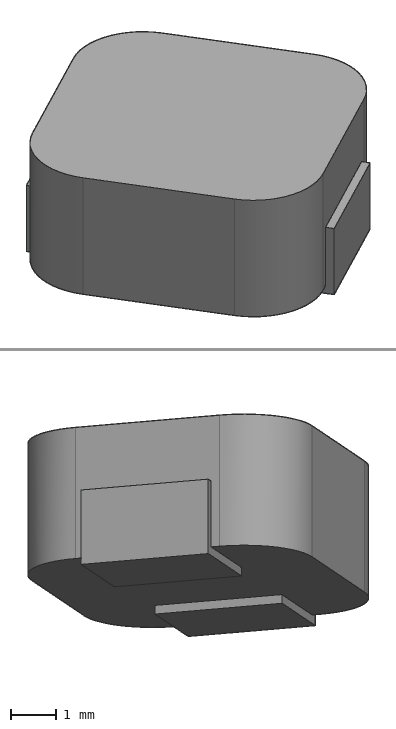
import cadquery as cq

total_length = 7.1
body_width = 6.6
total_height = 3.2

strip_thickness = 0.2
terminal_width = 2.995
terminal_height = 1.705
foot_length = 2.21

corner_radius = 1.605
body_length = total_length - 2 * strip_thickness
body_height = total_height - strip_thickness


def make_body():
    return (
        cq.Workplane("XY")
        .workplane(offset=strip_thickness)
        .rect(body_length, body_width)
        .extrude(body_height)
        .edges("|Z")
        .fillet(corner_radius)
    )


def make_terminal(side):
    """Terminal at the -X end (side = -1) or the +X end (side = 1)."""
    outer_x = side * total_length / 2
    inner_x = outer_x - side * strip_thickness
    foot_end_x = outer_x - side * foot_length
    profile = [
        (outer_x, 0),
        (outer_x, terminal_height),
        (inner_x, terminal_height),
        (inner_x, strip_thickness),
        (foot_end_x, strip_thickness),
        (foot_end_x, 0),
    ]
    return (
        cq.Workplane("XZ")
        .polyline(profile)
        .close()
        .extrude(terminal_width / 2, both=True)
    )


result = make_body()
for side in (-1, 1):
    result = result.union(make_terminal(side))